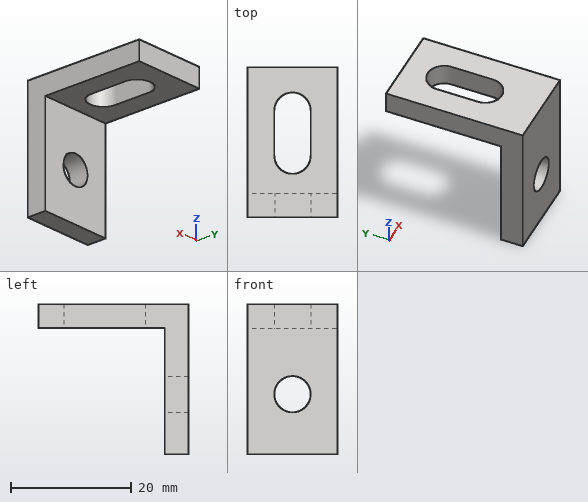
import cadquery as cq

width = 15.0
leg_length = 25.0
thickness = 4.0

hole_diameter = 6.0
hole_height = 10.0
slot_width = hole_diameter
slot_length = 13.5
slot_center_y = 14.0


def make_bracket():
    """L-shaped body: upright leg at the front, flat leg along the top."""
    upright = cq.Workplane("XY").box(width, thickness, leg_length, centered=(True, False, False))
    flat = (
        cq.Workplane("XY", origin=(0, 0, leg_length - thickness))
        .box(width, leg_length, thickness, centered=(True, False, False))
    )
    return upright.union(flat)


def make_hole():
    """Round cutter through the upright leg."""
    return (
        cq.Workplane("XZ", origin=(0, 0, hole_height))
        .circle(hole_diameter / 2)
        .extrude(-thickness)
    )


def make_slot():
    """Round-ended cutter through the flat leg, long along Y."""
    return (
        cq.Workplane("XY", origin=(0, slot_center_y, leg_length - thickness))
        .slot2D(slot_length, slot_width, angle=90)
        .extrude(thickness)
    )


result = make_bracket().cut(make_hole()).cut(make_slot())